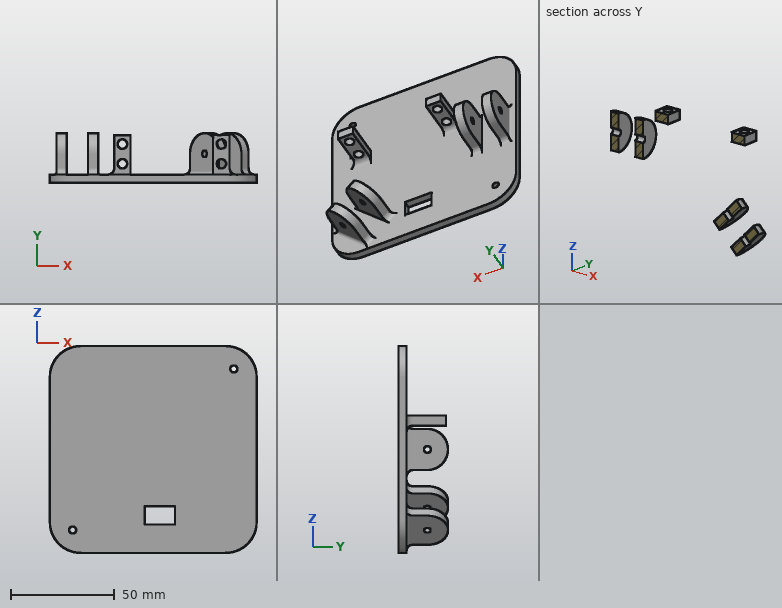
import cadquery as cq
import math

PLATE_SIZE = 100.0
PLATE_THICKNESS = 4.0
PLATE_CORNER_RADIUS = 15.0
MOUNT_HOLE_DIAMETER = 3.3
MOUNT_HOLE_OFFSET = 38.9

WINDOW_WIDTH = 14.5
WINDOW_HEIGHT = 8.7
WINDOW_CENTER_X = 3.25
WINDOW_CENTER_Z = -31.85

LUG_RADIUS = 10.0
LUG_AXIS_Y = PLATE_THICKNESS + LUG_RADIUS
LUG_THICKNESS = 5.0
LUG_GAP = 10.2
LUG_HOLE_DIAMETER = 3.2
LUG_END_FILLET = 3.0

SIDE_CLEVIS = (-36.65, 0.0, 0.0, 1.0)
CORNER_CLEVIS_OFFSET = 31.9
CORNER_CLEVIS = (CORNER_CLEVIS_OFFSET, -CORNER_CLEVIS_OFFSET, 45.0, 1.5)

POST_WIDTH = 8.0
POST_THICKNESS = 5.0
POST_END_Y = 23.0
POST_BOTTOM_Z = 11.45
POST_MID_X = 9.0
POST_SPACING = 47.8
POST_FILLET = 3.0
POST_HOLE_DIAMETER = 4.5
POST_HOLE_YS = (9.2, 18.7)
POST_BASE_SIZE = 3 * POST_WIDTH


def make_plate():
    """Rounded square plate with two diagonal mounting holes and a window."""
    plate = (
        cq.Workplane("XZ")
        .rect(PLATE_SIZE, PLATE_SIZE)
        .extrude(-PLATE_THICKNESS)
        .edges("|Y")
        .fillet(PLATE_CORNER_RADIUS)
    )
    mount_holes = (
        cq.Workplane("XZ")
        .pushPoints([(s * MOUNT_HOLE_OFFSET, s * MOUNT_HOLE_OFFSET) for s in (-1, 1)])
        .circle(MOUNT_HOLE_DIAMETER / 2)
        .extrude(-PLATE_THICKNESS)
    )
    window = (
        cq.Workplane("XZ")
        .center(WINDOW_CENTER_X, WINDOW_CENTER_Z)
        .rect(WINDOW_WIDTH, WINDOW_HEIGHT)
        .extrude(-PLATE_THICKNESS)
    )
    return plate.cut(mount_holes).cut(window)


def make_lug(side_fillet):
    """Round-ended lug with its inner face on x = 0 and its outer side towards +X."""
    arc_middle = 1 - math.sqrt(0.5)
    bend = LUG_END_FILLET * arc_middle
    root_y = PLATE_THICKNESS
    bend_y = root_y + LUG_END_FILLET
    foot_z = LUG_RADIUS + LUG_END_FILLET
    outline = (
        cq.Workplane("YZ")
        .moveTo(0, -foot_z)
        .lineTo(root_y, -foot_z)
        .threePointArc((root_y + bend, -LUG_RADIUS - bend), (bend_y, -LUG_RADIUS))
        .lineTo(LUG_AXIS_Y, -LUG_RADIUS)
        .threePointArc((LUG_AXIS_Y + LUG_RADIUS, 0), (LUG_AXIS_Y, LUG_RADIUS))
        .lineTo(bend_y, LUG_RADIUS)
        .threePointArc((root_y + bend, LUG_RADIUS + bend), (root_y, foot_z))
        .lineTo(0, foot_z)
        .close()
        .extrude(LUG_THICKNESS + side_fillet)
    )
    side_bend = side_fillet * arc_middle
    outer_x = LUG_THICKNESS + side_fillet
    section = (
        cq.Workplane("XY")
        .lineTo(outer_x, 0)
        .lineTo(outer_x, root_y)
        .threePointArc(
            (LUG_THICKNESS + side_bend, root_y + side_bend),
            (LUG_THICKNESS, root_y + side_fillet),
        )
        .lineTo(LUG_THICKNESS, LUG_AXIS_Y + LUG_RADIUS)
        .lineTo(0, LUG_AXIS_Y + LUG_RADIUS)
        .close()
        .extrude(foot_z, both=True)
    )
    pin_hole = (
        cq.Workplane("YZ")
        .center(LUG_AXIS_Y, 0)
        .circle(LUG_HOLE_DIAMETER / 2)
        .extrude(LUG_THICKNESS)
    )
    return outline.intersect(section).cut(pin_hole)


def make_clevis(center_x, center_z, turn, side_fillet):
    """Two mirrored lugs with a gap between them, filleted on their outer sides."""
    lug = make_lug(side_fillet).translate((LUG_GAP / 2, 0, 0))
    clevis = lug.union(lug.mirror("YZ"))
    return clevis.rotate((0, 0, 0), (0, 1, 0), turn).translate((center_x, 0, center_z))


def make_post(side):
    """Drilled post, filleted into the plate on its outer side and underneath (side is -1 or 1)."""
    root_y = PLATE_THICKNESS
    blank = (
        cq.Workplane("XY")
        .box(POST_WIDTH, POST_END_Y, POST_THICKNESS, centered=(True, False, False))
    )
    holes = (
        cq.Workplane("XY")
        .pushPoints([(0, y) for y in POST_HOLE_YS])
        .circle(POST_HOLE_DIAMETER / 2)
        .extrude(POST_THICKNESS)
    )
    base = (
        cq.Workplane("XY")
        .box(POST_BASE_SIZE, root_y, POST_BASE_SIZE, centered=(True, False, True))
    )
    outer_face_x = POST_WIDTH / 2
    outer_root = cq.selectors.NearestToPointSelector((outer_face_x, root_y, POST_THICKNESS / 2))
    lower_root = cq.selectors.NearestToPointSelector((0, root_y, 0))
    post = blank.union(base).edges(outer_root + lower_root).fillet(POST_FILLET).cut(holes)
    if side < 0:
        post = post.mirror("YZ")
    return post.translate((POST_MID_X + side * POST_SPACING / 2, 0, POST_BOTTOM_Z))


result = make_plate()
for clevis_placement in (SIDE_CLEVIS, CORNER_CLEVIS):
    result = result.union(make_clevis(*clevis_placement))
for post_side in (-1, 1):
    result = result.union(make_post(post_side))